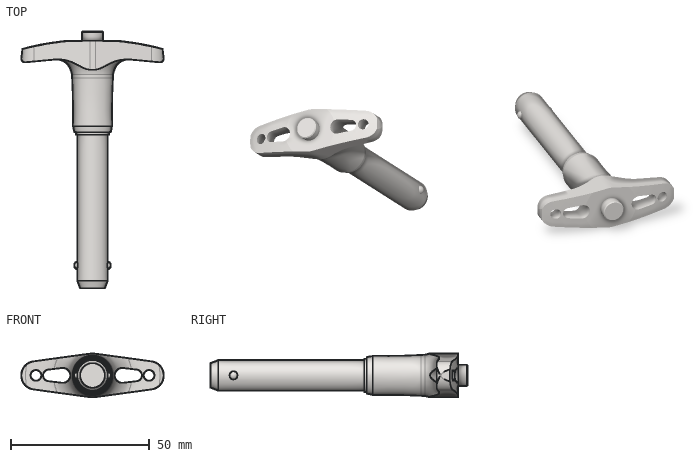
import cadquery as cq
import math


overall_length = 92.71
shank_radius = 11.11 / 2
tip_radius = 4.45
tip_length = 2.8

ball_radius = 1.5
ball_reach = 6.65
ball_from_tip = 8.3

button_radius = 7.7 / 2
button_height = 3.4
button_chamfer = 0.35

ring_radius = 6.05
ring_length = 0.9
collar_front_radius = 6.6
collar_rear_radius = 6.97
collar_length = 2.15
barrel_front_radius = 7.15
barrel_waist_radius = 7.11
barrel_rear_radius = 7.42
barrel_length = 17.4
neck_length = 1.4

handle_back_y = 33.86
back_flat_radius = 9.8
dome_radius = 95
rim_back_radius = 25.34
rim_front_radius = 25.92
rim_rounding = 1.7
underside_angle = math.radians(5.8)
flare_radius = 6.1
flare_outer_radius = 14.15
flare_end_angle = math.radians(-82.5)

hub_radius = 15.88 / 2
handle_half_span = 51.45 / 2
end_radius = 5.15
end_x = handle_half_span - end_radius
slot_inner_x = 10.7
slot_inner_radius = 2.65
slot_outer_x = 15.75
slot_outer_radius = 2.05
lanyard_hole_x = 20.4
lanyard_hole_radius = 1.9

button_top_y = handle_back_y + button_height
tip_y = button_top_y - overall_length
barrel_front_y = ring_length + collar_length
barrel_rear_y = barrel_front_y + barrel_length
neck_rear_y = barrel_rear_y + neck_length

flare_center_radius = flare_outer_radius - flare_radius * math.sin(underside_angle)
flare_center_y = neck_rear_y - flare_radius * math.cos(flare_end_angle)


def flare_point(angle):
    """Point on the flare arc; the angle is measured from +Y, positive outward."""
    return (
        flare_center_radius + flare_radius * math.sin(angle),
        flare_center_y + flare_radius * math.cos(angle),
    )


def dome_point(radius):
    """Point on the domed handle back, which starts at the edge of the back flat."""
    flat_height = math.sqrt(dome_radius**2 - back_flat_radius**2)
    return (radius, handle_back_y - flat_height + math.sqrt(dome_radius**2 - radius**2))


def turned(profile):
    """Closed radius/Y profile revolved about the pin axis."""
    return profile.close().revolve(360, (0, 0, 0), (0, 1, 0))


def make_pin():
    """Shank with a tapered tip, running through the grip to the release button."""
    return turned(
        cq.Workplane("XY")
        .moveTo(0, tip_y)
        .lineTo(tip_radius, tip_y)
        .lineTo(shank_radius, tip_y + tip_length)
        .lineTo(shank_radius, barrel_front_y)
        .lineTo(button_radius, barrel_front_y)
        .lineTo(button_radius, button_top_y - button_chamfer)
        .lineTo(button_radius - button_chamfer, button_top_y)
        .lineTo(0, button_top_y)
    )


def make_grip():
    """Collar, waisted barrel and flared handle disc, turned in one piece."""
    flare_outer = flare_point(underside_angle)
    underside_drop = (rim_front_radius - flare_outer_radius) * math.tan(underside_angle)
    rim_corner = (rim_front_radius, flare_outer[1] - underside_drop)
    rim_back = dome_point(rim_back_radius)
    rim_lean = math.atan2(rim_front_radius - rim_back_radius, rim_back[1] - rim_corner[1])
    underside_end = (
        rim_corner[0] - rim_rounding * math.cos(underside_angle),
        rim_corner[1] + rim_rounding * math.sin(underside_angle),
    )
    rim_start = (
        rim_corner[0] - rim_rounding * math.sin(rim_lean),
        rim_corner[1] + rim_rounding * math.cos(rim_lean),
    )
    collar_drop = collar_rear_radius - collar_front_radius
    collar_crown_radius = (collar_length**2 + collar_drop**2) / (2 * collar_drop)
    barrel_middle = (barrel_waist_radius, (barrel_front_y + barrel_rear_y) / 2)
    return turned(
        cq.Workplane("XY")
        .moveTo(0, 0)
        .lineTo(ring_radius, 0)
        .lineTo(ring_radius, ring_length)
        .lineTo(collar_front_radius, ring_length)
        .radiusArc((collar_rear_radius, barrel_front_y), -collar_crown_radius)
        .lineTo(barrel_front_radius, barrel_front_y)
        .threePointArc(barrel_middle, (barrel_rear_radius, barrel_rear_y))
        .lineTo(*flare_point(flare_end_angle))
        .threePointArc(flare_point((flare_end_angle + underside_angle) / 2), flare_outer)
        .lineTo(*underside_end)
        .tangentArcPoint(rim_start, relative=False)
        .lineTo(*rim_back)
        .threePointArc(dome_point((rim_back_radius + back_flat_radius) / 2), dome_point(back_flat_radius))
        .lineTo(0, handle_back_y)
    )


def tapered_bar(inner_x, inner_radius, outer_x, outer_radius):
    """Prism along Y around two circles on X and their common tangents, over the whole grip."""
    tangent_sine = (inner_radius - outer_radius) / (outer_x - inner_x)
    tangent_cosine = math.sqrt(1 - tangent_sine**2)

    def tangent_point(center_x, radius, side):
        return (center_x + radius * tangent_sine, side * radius * tangent_cosine)

    return (
        cq.Workplane("XZ")
        .moveTo(*tangent_point(inner_x, inner_radius, 1))
        .lineTo(*tangent_point(outer_x, outer_radius, 1))
        .threePointArc((outer_x + outer_radius, 0), tangent_point(outer_x, outer_radius, -1))
        .lineTo(*tangent_point(inner_x, inner_radius, -1))
        .threePointArc((inner_x - inner_radius, 0), tangent_point(inner_x, inner_radius, 1))
        .close()
        .extrude(-handle_back_y)
    )


def both_sides(shape):
    """A shape together with its mirror image across the YZ plane."""
    return shape.union(shape.mirror("YZ"))


def make_handle_outline():
    """Lens-like outline: a round hub narrowing to a rounded end on each side."""
    return both_sides(tapered_bar(0, hub_radius, end_x, end_radius))


def make_openings():
    """Tapered finger slots and round lanyard holes through both handle arms."""
    slot = tapered_bar(slot_inner_x, slot_inner_radius, slot_outer_x, slot_outer_radius)
    hole = (
        cq.Workplane("XZ")
        .center(lanyard_hole_x, 0)
        .circle(lanyard_hole_radius)
        .extrude(-handle_back_y)
    )
    return both_sides(slot.union(hole))


def make_balls():
    """Locking balls standing out of the shank near the tip."""
    ball = cq.Workplane("XY").sphere(ball_radius)
    return both_sides(ball.translate((ball_reach - ball_radius, tip_y + ball_from_tip, 0)))


grip = make_grip().intersect(make_handle_outline()).cut(make_openings())
result = grip.union(make_pin()).union(make_balls())